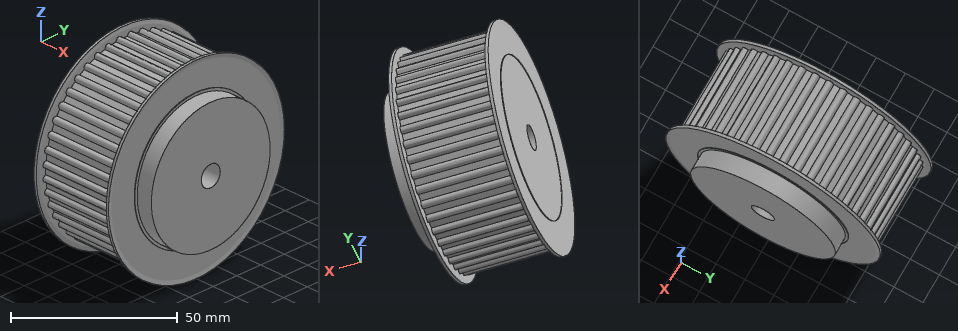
import cadquery as cq
import math

tooth_count = 44
flange_diameter = 74.0
pulley_width = 32.0
total_width = 38.0
hub_diameter = 49.95
bore_diameter = 8.0

tip_radius = 34.4
root_radius = 33.2
groove_floor_width = 2.15
flank_angle = math.radians(28)
tip_rounding = 0.8

flange_thickness = 1.0
flange_bend = 0.2
bend_diameter = 71.05
spigot_diameter = 51.95

flange_inner_face = flange_bend + flange_thickness
toothed_width = pulley_width - 2 * flange_inner_face


def disc(diameter, start, length):
    """Cylinder on the X axis, beginning at x = start."""
    return cq.Workplane("YZ", origin=(start, 0, 0)).circle(diameter / 2).extrude(length)


def tooth_profile():
    """Points of one side of a tooth, measured along and across its middle line.

    Each point is (radial, sideways), listed from the root to the tip.
    """
    half_pitch_angle = math.pi / tooth_count
    half_floor_angle = math.asin(groove_floor_width / 2 / root_radius)
    base_angle = half_pitch_angle - half_floor_angle
    base = (root_radius * math.cos(base_angle), root_radius * math.sin(base_angle))

    corner_side = base[1] - (tip_radius - base[0]) * math.tan(flank_angle)
    tangent_length = tip_rounding * math.tan((math.pi / 2 - flank_angle) / 2)
    land_side = corner_side - tangent_length
    center_radial = tip_radius - tip_rounding

    def on_rounding(angle):
        return (center_radial + tip_rounding * math.sin(angle), land_side + tip_rounding * math.cos(angle))

    arc_middle_angle = (flank_angle + math.pi / 2) / 2
    return base, on_rounding(flank_angle), on_rounding(arc_middle_angle), (tip_radius, land_side)


def toothed_rim():
    """Toothed disc between the flanges, with a groove centred on the Y axis."""
    base, arc_start, arc_middle, arc_end = tooth_profile()
    pitch_angle = 2 * math.pi / tooth_count

    def place(point, side, angle):
        radial, sideways = point[0], side * point[1]
        return (
            radial * math.cos(angle) - sideways * math.sin(angle),
            radial * math.sin(angle) + sideways * math.cos(angle),
        )

    first_angle = pitch_angle / 2
    outline = cq.Workplane("YZ", origin=(flange_inner_face, 0, 0))
    outline = outline.moveTo(*place(base, -1, first_angle))
    for index in range(tooth_count):
        angle = first_angle + index * pitch_angle
        groove_angle = angle + pitch_angle / 2
        outline = (
            outline.lineTo(*place(arc_start, -1, angle))
            .threePointArc(place(arc_middle, -1, angle), place(arc_end, -1, angle))
            .lineTo(*place(arc_end, 1, angle))
            .threePointArc(place(arc_middle, 1, angle), place(arc_start, 1, angle))
            .lineTo(*place(base, 1, angle))
            .threePointArc(
                place((root_radius, 0), 1, groove_angle),
                place(base, -1, angle + pitch_angle),
            )
        )
    return outline.close().extrude(toothed_width)


def flange():
    """Flange at the -X end, its bent edge reaching x = 0."""
    rim_radius = flange_diameter / 2
    bend_radius = bend_diameter / 2
    section = [
        (flange_bend, 0),
        (flange_bend, bend_radius),
        (0, rim_radius),
        (flange_thickness, rim_radius),
        (flange_inner_face, bend_radius),
        (flange_inner_face, 0),
    ]
    return cq.Workplane("XY").polyline(section).close().revolve(360, (0, 0, 0), (1, 0, 0))


near_flange = flange()
far_flange = near_flange.mirror("YZ").translate((pulley_width, 0, 0))
spigots = disc(spigot_diameter, 0, pulley_width)
hub = disc(hub_diameter, pulley_width / 2, total_width - pulley_width / 2)
bore = disc(bore_diameter, 0, total_width)

result = toothed_rim().union(near_flange).union(far_flange).union(spigots).union(hub).cut(bore)